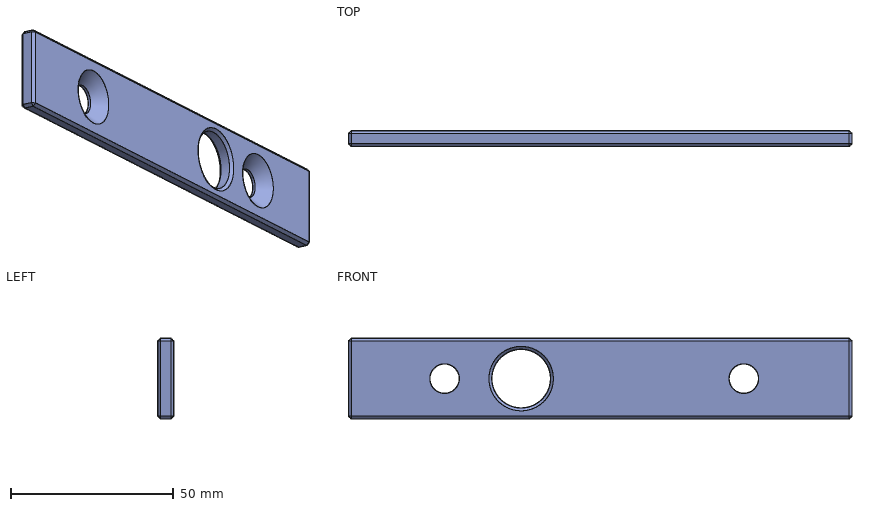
import cadquery as cq

length = 155.1
thickness = 5.0
height = 25.0
edge_chamfer = 1.0

small_hole_diameter = 9.0
small_hole_positions = (-48.0, 44.2)
small_hole_land = 1.0
small_countersink_depth = thickness - small_hole_land
large_hole_diameter = 18.0
large_hole_position = -24.4
large_hole_chamfer = 1.0

FRONT = -1
BACK = 1


def through_hole(diameter, x):
    """Cylinder along Y spanning the bar thickness."""
    return (
        cq.Workplane("XZ")
        .center(x, 0)
        .circle(diameter / 2)
        .extrude(thickness / 2, both=True)
    )


def countersink(diameter, depth, x, side):
    """45 degree cone opening towards the front (side=-1) or back (side=1) face."""
    return (
        cq.Workplane("XZ", origin=(x, side * thickness / 2, 0))
        .circle(diameter / 2 + depth)
        .extrude(side * depth, taper=45)
    )


bar = cq.Workplane("XY").box(length, thickness, height).edges().chamfer(edge_chamfer)

for position in small_hole_positions:
    bar = bar.cut(through_hole(small_hole_diameter, position))
    bar = bar.cut(countersink(small_hole_diameter, small_countersink_depth, position, BACK))

bar = bar.cut(through_hole(large_hole_diameter, large_hole_position))
for side in (FRONT, BACK):
    bar = bar.cut(countersink(large_hole_diameter, large_hole_chamfer, large_hole_position, side))

result = bar